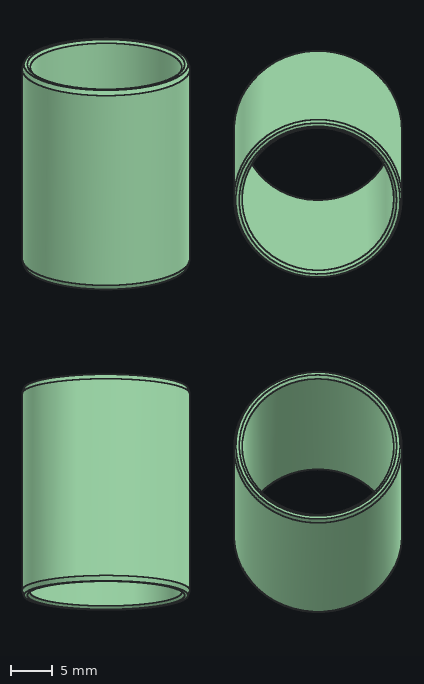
import cadquery as cq
import math

length = 25.0
outer_diameter = 20.0
bore_diameter = 18.05

lead_in_height = 0.6
lead_in_angle = 20.0

bore_chamfer = 0.35

outer_radius = outer_diameter / 2
bore_radius = bore_diameter / 2
lead_in_depth = lead_in_height * math.tan(math.radians(lead_in_angle))
rim_outer_radius = outer_radius - lead_in_depth
rim_inner_radius = bore_radius + bore_chamfer

wall_section = [
    (rim_outer_radius, 0),
    (outer_radius, lead_in_height),
    (outer_radius, length - lead_in_height),
    (rim_outer_radius, length),
    (rim_inner_radius, length),
    (bore_radius, length - bore_chamfer),
    (bore_radius, bore_chamfer),
    (rim_inner_radius, 0),
]

result = (
    cq.Workplane("XZ")
    .polyline(wall_section)
    .close()
    .revolve(360, (0, 0), (0, 1))
)